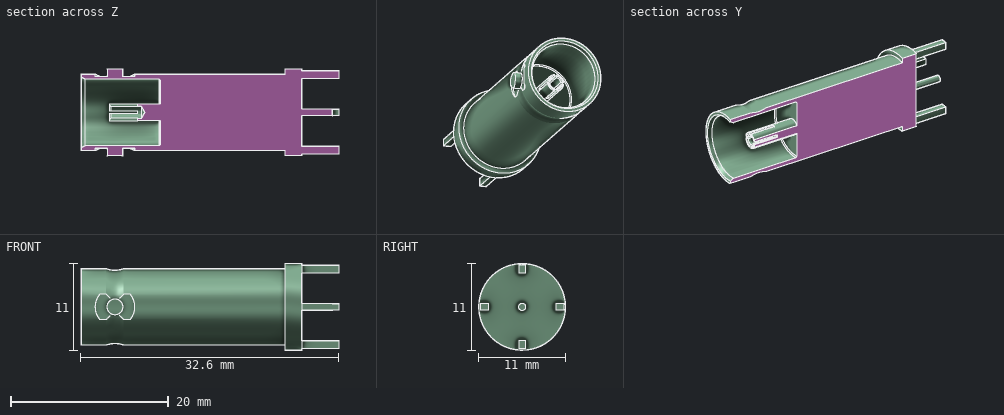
import cadquery as cq
import math


overall_length = 32.64
body_radius = 9.7 / 2
flange_radius = 11.0 / 2
flange_start = 25.8
flange_end = 27.94

mouth_radius = 8.9 / 2
bore_radius = 8.4 / 2
floor_radius = 8.1 / 2
mouth_taper_length = 0.5
bore_depth = 10.0
floor_bevel = bore_radius - floor_radius

stud_x = 4.27
stud_radius = 1.0
stud_overrun = 1.0
spotface_radius = 2.5
spotface_offset = 4.57
groove_width = 2.27
groove_depth = 0.2

contact_tip_x = 3.6
contact_radius = 1.07
contact_hole_radius = 0.75
contact_hole_depth = 4.0
contact_hole_cone = contact_hole_radius / math.sqrt(3)
contact_countersink = 0.15
contact_slot_width = 0.3
contact_slot_depth = 3.5

ground_pin_offset = 4.78
ground_pin_radial = 1.0
ground_pin_tangential = 0.85
centre_pin_radius = 0.45
centre_pin_end = 31.8


def revolve_about_x(profile):
    """Turn a closed XY profile around the X axis."""
    return profile.close().revolve(360, (0, 0, 0), (1, 0, 0))


def make_shell():
    """Flanged tube with a shallow round-bottomed groove and a stepped blind bore."""
    bevel_start = bore_depth - floor_bevel
    profile = (
        cq.Workplane("XY")
        .moveTo(0, mouth_radius)
        .lineTo(0, body_radius)
        .lineTo(stud_x - groove_width / 2, body_radius)
        .threePointArc(
            (stud_x, body_radius - groove_depth),
            (stud_x + groove_width / 2, body_radius),
        )
        .lineTo(flange_start, body_radius)
        .lineTo(flange_start, flange_radius)
        .lineTo(flange_end, flange_radius)
        .lineTo(flange_end, 0)
        .lineTo(bore_depth, 0)
        .lineTo(bore_depth, floor_radius)
        .lineTo(bevel_start, bore_radius)
        .lineTo(mouth_taper_length, bore_radius)
    )
    return revolve_about_x(profile)


def cylinder_along_y(radius, y_start, y_end):
    """Cylinder at the stud position, running along Y."""
    return (
        cq.Workplane("XZ", origin=(stud_x, y_start, 0))
        .circle(radius)
        .extrude(y_start - y_end)
    )


def make_stud(side):
    """Bayonet stud on one side, its end rounded to the flange radius."""
    inner_end = (bore_radius + spotface_offset) / 2
    stud = cylinder_along_y(stud_radius, side * inner_end, side * (flange_radius + stud_overrun))
    envelope = cq.Workplane("YZ").circle(flange_radius).extrude(flange_end)
    return stud.intersect(envelope)


def make_spotface(side):
    """Cutter for the round flat at the foot of one stud."""
    return cylinder_along_y(spotface_radius, side * spotface_offset, side * flange_radius)


def make_contact():
    """Hollow centre contact with a conical hole bottom and four slots at its tip."""
    hole_end = contact_tip_x + contact_hole_depth
    profile = (
        cq.Workplane("XY")
        .moveTo(contact_tip_x, contact_hole_radius + contact_countersink)
        .lineTo(contact_tip_x, contact_radius)
        .lineTo(flange_start, contact_radius)
        .lineTo(flange_start, 0)
        .lineTo(hole_end + contact_hole_cone, 0)
        .lineTo(hole_end, contact_hole_radius)
        .lineTo(contact_tip_x + contact_countersink, contact_hole_radius)
    )
    contact = revolve_about_x(profile)
    slot_x = contact_tip_x + contact_slot_depth / 2
    for angle in (0, 90):
        slot = (
            cq.Workplane("XY")
            .box(contact_slot_depth, contact_slot_width, 4 * contact_radius)
            .translate((slot_x, 0, 0))
            .rotate((0, 0, 0), (1, 0, 0), angle)
        )
        contact = contact.cut(slot)
    return contact


def make_ground_pin(angle):
    """Rectangular rear pin, placed at an angle around the X axis from +Z."""
    return (
        cq.Workplane("YZ", origin=(flange_start, 0, 0))
        .center(0, ground_pin_offset)
        .rect(ground_pin_tangential, ground_pin_radial)
        .extrude(overall_length - flange_start)
        .rotate((0, 0, 0), (1, 0, 0), angle)
    )


def make_centre_pin():
    """Round rear pin on the axis."""
    return (
        cq.Workplane("YZ", origin=(flange_start, 0, 0))
        .circle(centre_pin_radius)
        .extrude(centre_pin_end - flange_start)
    )


result = make_shell()
for side in (-1, 1):
    result = result.cut(make_spotface(side)).union(make_stud(side))
result = result.union(make_contact())
for angle in (0, 90, 180, 270):
    result = result.union(make_ground_pin(angle))
result = result.union(make_centre_pin())